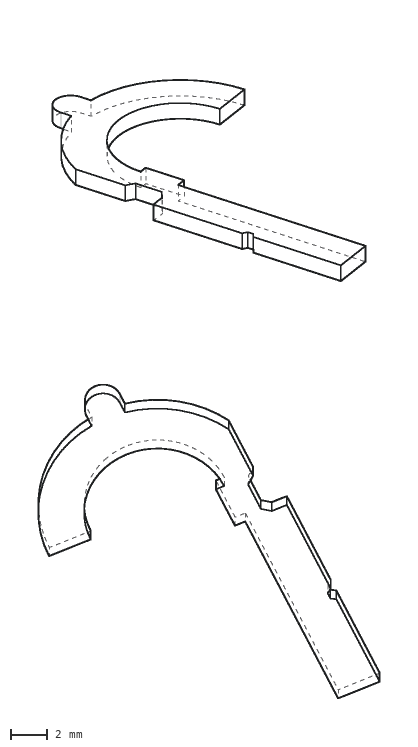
import cadquery as cq
import math

thickness = 1.0

outer_radius = 6.5
inner_radius = 4.0
flat_y = -5.7

tab_reach = 8.08
tab_radius = 1.0

total_length = 22.7
total_width = 13.1
arm_width = 2.5
arm_start_x = 2.5
arm_end_x = total_length - tab_reach
arm_bottom_y = outer_radius - total_width
arm_top_y = arm_bottom_y + arm_width

pad_top_y = -3.5
relief_start_x = 0.1
relief_depth = 0.48
relief_slope_run = 0.36
relief_roof_y = flat_y + relief_depth

notch_center_x = 8.6
notch_mouth_width = 0.73
notch_roof_width = 0.36
notch_depth = 0.27
notch_roof_y = arm_bottom_y + notch_depth

flat_start_x = -math.sqrt(outer_radius**2 - flat_y**2)
tab_root_x = -math.sqrt(outer_radius**2 - tab_radius**2)
tab_center_x = -tab_reach + tab_radius


def outer_circle_point(angle):
    """Point on the outer circle at an angle in radians."""
    return (outer_radius * math.cos(angle), outer_radius * math.sin(angle))


tab_root_angle = math.atan2(tab_radius, tab_root_x)
flat_start_angle = math.atan2(flat_y, flat_start_x)
upper_arc_middle = outer_circle_point((math.pi / 2 + tab_root_angle) / 2)
lower_arc_middle = outer_circle_point((flat_start_angle - tab_root_angle) / 2)

outline = (
    cq.Workplane("XY")
    .moveTo(0, outer_radius)
    .threePointArc(upper_arc_middle, (tab_root_x, tab_radius))
    .lineTo(tab_center_x, tab_radius)
    .threePointArc((-tab_reach, 0), (tab_center_x, -tab_radius))
    .lineTo(tab_root_x, -tab_radius)
    .threePointArc(lower_arc_middle, (flat_start_x, flat_y))
    .lineTo(relief_start_x, flat_y)
    .lineTo(relief_start_x + relief_slope_run, relief_roof_y)
    .lineTo(arm_start_x - relief_slope_run, relief_roof_y)
    .lineTo(arm_start_x, flat_y)
    .lineTo(arm_start_x, arm_bottom_y)
    .lineTo(notch_center_x - notch_mouth_width / 2, arm_bottom_y)
    .lineTo(notch_center_x - notch_roof_width / 2, notch_roof_y)
    .lineTo(notch_center_x + notch_roof_width / 2, notch_roof_y)
    .lineTo(notch_center_x + notch_mouth_width / 2, arm_bottom_y)
    .lineTo(arm_end_x, arm_bottom_y)
    .lineTo(arm_end_x, arm_top_y)
    .lineTo(arm_start_x, arm_top_y)
    .lineTo(arm_start_x, pad_top_y)
    .lineTo(0, pad_top_y)
    .lineTo(0, -inner_radius)
    .threePointArc((-inner_radius, 0), (0, inner_radius))
    .close()
)

result = outline.extrude(thickness)